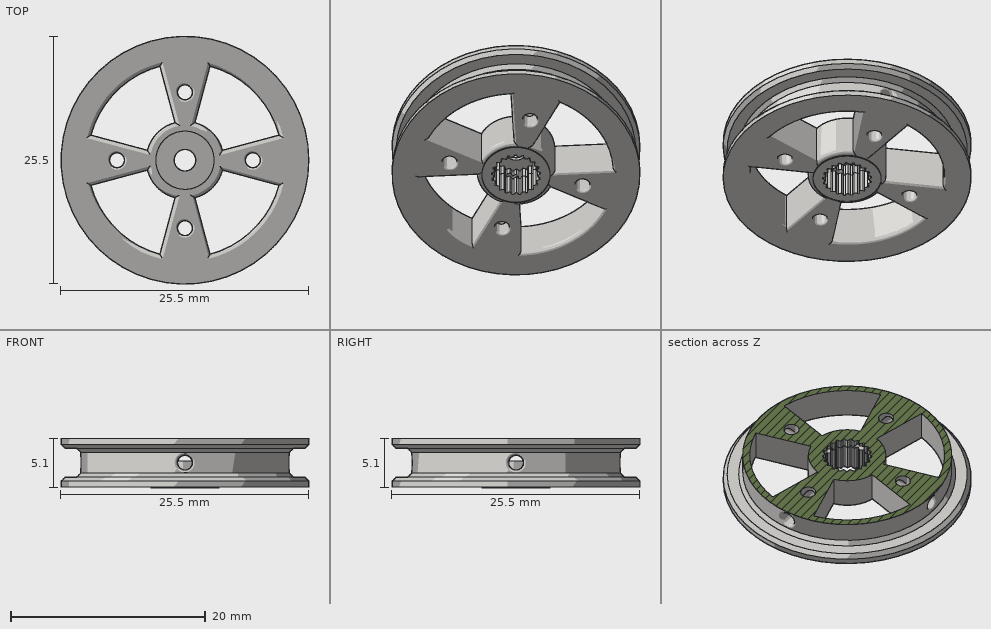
import cadquery as cq
import math

wheel_diameter = 25.5
total_height = 5.1
insert_protrusion = 0.1
wheel_bottom = insert_protrusion
wheel_height = total_height - wheel_bottom
wheel_middle = wheel_bottom + wheel_height / 2
groove_diameter = 21.5
flange_edge_height = 0.6
edge_bevel = 0.4

spoke_count = 4
window_outer_radius = 10.0
hub_radius = 4.0
window_angle = 60.0
window_fillet = 0.45

small_hole_diameter = 1.5
small_hole_fillet = 0.25
spoke_hole_radius = 6.99
bore_diameter = 2.2
recess_diameter = 6.0
recess_depth = 0.5
web_thickness = 0.45

insert_diameter = 7.0
insert_height = 2.8

tooth_count = 21
tooth_tip_radius = 2.22
flank_end_radius = 2.42
root_radius = 2.52
root_width_share = 0.27
first_tip_angle = -90.0
spline_top = total_height - recess_depth - web_thickness


def polar(radius, degrees):
    """Point in the XY plane at a radius and an angle."""
    angle = math.radians(degrees)
    return (radius * math.cos(angle), radius * math.sin(angle))


def make_spline_cutter():
    """Toothed prism: pointed teeth inward with a rounded root between each pair."""
    pitch = 360 / tooth_count
    half_root = pitch * root_width_share / 2
    outline = cq.Workplane("XY").moveTo(*polar(tooth_tip_radius, first_tip_angle))
    for index in range(tooth_count):
        root_angle = first_tip_angle + (index + 0.5) * pitch
        outline = outline.lineTo(*polar(flank_end_radius, root_angle - half_root))
        outline = outline.threePointArc(
            polar(root_radius, root_angle),
            polar(flank_end_radius, root_angle + half_root),
        )
        if index < tooth_count - 1:
            outline = outline.lineTo(*polar(tooth_tip_radius, root_angle + pitch / 2))
    return outline.close().extrude(spline_top)


def make_pulley_blank():
    """Revolved disc with two bevelled flanges and a bevelled groove."""
    rim = wheel_diameter / 2
    groove = groove_diameter / 2
    half = wheel_height / 2
    flange_edge = half - flange_edge_height
    flange_inner = flange_edge - edge_bevel
    groove_half = flange_inner - edge_bevel
    upper = [
        (groove, groove_half),
        (groove + edge_bevel, flange_inner),
        (rim - edge_bevel, flange_inner),
        (rim, flange_edge),
        (rim, half),
    ]
    lower = [(radius, -height) for radius, height in reversed(upper)]
    profile = cq.Workplane("XZ").polyline([(0, half), (0, -half)] + lower + upper).close()
    blank = profile.revolve(360, (0, 0, 0), (0, 1, 0))
    return blank.translate((0, 0, wheel_middle))


def make_window_cutter(middle_angle):
    """Straight-sided ring sector through the full height of the wheel."""
    start = middle_angle - window_angle / 2
    end = middle_angle + window_angle / 2
    return (
        cq.Workplane("XY", origin=(0, 0, wheel_bottom))
        .moveTo(*polar(hub_radius, start))
        .lineTo(*polar(window_outer_radius, start))
        .threePointArc(polar(window_outer_radius, middle_angle), polar(window_outer_radius, end))
        .lineTo(*polar(hub_radius, end))
        .threePointArc(polar(hub_radius, middle_angle), polar(hub_radius, start))
        .close()
        .extrude(wheel_height)
    )


def cut_windows(wheel):
    """Cut the windows and round their edges on both faces."""
    for index in range(spoke_count):
        wheel = wheel.cut(make_window_cutter((index + 0.5) * 360 / spoke_count))
    inside_rim = cq.selectors.BoxSelector(
        (-groove_diameter / 2, -groove_diameter / 2, 0),
        (groove_diameter / 2, groove_diameter / 2, 2 * total_height),
        boundingbox=True,
    )
    for face in (">Z", "<Z"):
        wheel = wheel.faces(face).edges(inside_rim).fillet(window_fillet)
    return wheel


def cut_spoke_holes(wheel):
    """Drill one vertical hole through each spoke and round both ends."""
    drill_radius = small_hole_diameter / 2
    for index in range(spoke_count):
        x, y = polar(spoke_hole_radius, index * 360 / spoke_count)
        drill = cq.Workplane("XY", origin=(x, y, wheel_bottom)).circle(drill_radius).extrude(wheel_height)
        wheel = wheel.cut(drill)
        near_hole = cq.selectors.BoxSelector(
            (x - drill_radius, y - drill_radius, 0),
            (x + drill_radius, y + drill_radius, 2 * total_height),
        )
        wheel = wheel.edges(near_hole).edges("%CIRCLE").fillet(small_hole_fillet)
    return wheel


def cut_hub(wheel):
    """Cut the recess and bore from above, and the insert pocket and spline socket from below."""
    recess_floor = total_height - recess_depth
    recess = cq.Workplane("XY", origin=(0, 0, recess_floor)).circle(recess_diameter / 2).extrude(recess_depth)
    bore = cq.Workplane("XY").circle(bore_diameter / 2).extrude(total_height)
    pocket = cq.Workplane("XY").circle(insert_diameter / 2).extrude(insert_height)
    return wheel.cut(recess).cut(bore).cut(pocket).cut(make_spline_cutter())


def cut_radial_holes(wheel):
    """Drill along X and Y through the whole wheel and round the four mouths in the groove."""
    drill_radius = small_hole_diameter / 2
    for plane in ("XZ", "YZ"):
        drill = (
            cq.Workplane(plane)
            .center(0, wheel_middle)
            .circle(drill_radius)
            .extrude(wheel_diameter / 2, both=True)
        )
        wheel = wheel.cut(drill)
    reach = groove_diameter / 2
    for index in range(spoke_count):
        x, y = polar(reach, index * 360 / spoke_count)
        mouth = cq.selectors.BoxSelector(
            (x - drill_radius, y - drill_radius, wheel_middle - drill_radius),
            (x + drill_radius, y + drill_radius, wheel_middle + drill_radius),
        )
        wheel = wheel.edges(mouth).fillet(small_hole_fillet)
    return wheel


def make_wheel():
    """The whole pulley wheel."""
    wheel = make_pulley_blank()
    wheel = cut_windows(wheel)
    wheel = cut_spoke_holes(wheel)
    wheel = cut_radial_holes(wheel)
    return cut_hub(wheel)


def make_insert():
    """Plain ring with the spline cut along its full height."""
    ring = cq.Workplane("XY").circle(insert_diameter / 2).extrude(insert_height)
    return ring.cut(make_spline_cutter())


wheel = make_wheel()
insert = make_insert()
result = cq.Compound.makeCompound([wheel.val(), insert.val()])